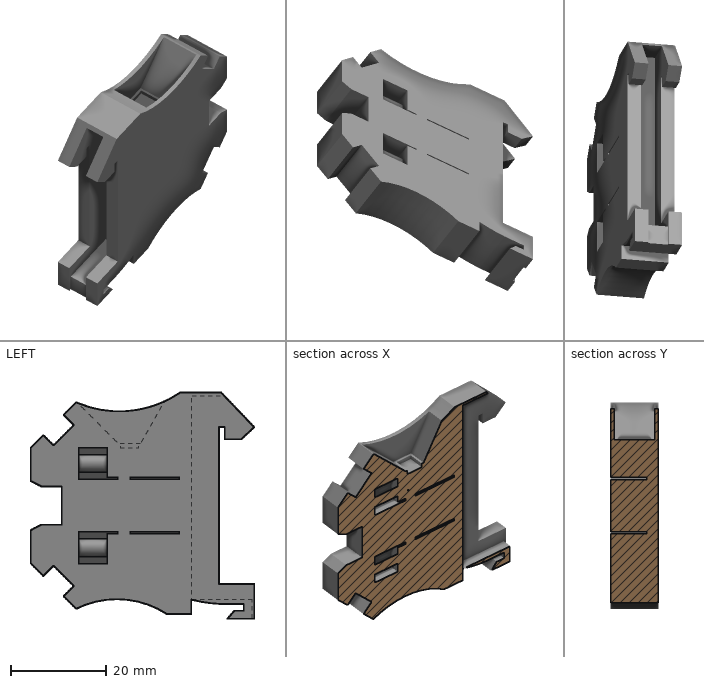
import cadquery as cq


width = 10.2
depth = 47.0
height = 47.6
side = width / 2
front = depth / 2
rail_end = -depth / 2
top = height / 2

tooth_corner_z = 12.15
tooth_run = 2.65
label_depth = 2.15
label_floor = 4.25
mid_notch_half = 4.0
mid_notch_floor_y = 17.0
mid_notch_chamfer_y = 2.25
mid_notch_chamfer_z = 1.15

waist_y = 4.75
top_waist_z = 19.8
bottom_waist_z = -19.7
top_waist_end_y = -7.95
bottom_waist_end_y = -5.1
bottom_land_z = -22.8

rail_face_y = -16.1
rail_half = 16.45
hook_gap = 1.2
hook_tip_z = 13.9
hook_slant_run = 7.0
hook_tip_run = 2.75
foot_step_y = -10.3
foot_root_z = -19.8
foot_under_z = -20.7
foot_arc_end_y = -16.45
foot_arc_mid = (-13.4, -20.4)
barb_wall = 2.25
barb_thickness = 1.7
barb_top_y = -19.3
barb_tip_y = -17.8

rail_slot_width = 4.3
rail_slot_top_z = 23.1
rail_slot_floor_z = -19.7
foot_recess = 0.5

funnel_width = 8.4
funnel_front_y = 13.75
funnel_floor_front_y = 5.2
funnel_floor_back_y = 0.45
funnel_back_y = -4.47
funnel_floor_z = 13.15
funnel_back_z = 21.8
screw_recess_width = 7.35
screw_recess_margin = 0.48
screw_recess_depth = 0.95

chamber_depth = 7.6
chamber_front_y = 13.4
chamber_back_y = -7.75
chamber_inner_z = 5.5
chamber_outer_z = 12.2
terminal_front_y = 7.43
terminal_gap = 0.4
link_front_y = 5.2
link_back_y = 2.6
wire_radius = 1.85


def block(x_range, y_range, z_range):
    """Axis-aligned box between the given limits."""
    x0, x1 = x_range
    y0, y1 = y_range
    z0, z1 = z_range
    return cq.Workplane("XY").box(x1 - x0, y1 - y0, z1 - z0, centered=False).translate((x0, y0, z0))


def front_half_outline():
    """Upper half of the front, from the middle notch floor up to the start of the waist."""
    points = [
        (mid_notch_floor_y, mid_notch_half),
        (front - mid_notch_chamfer_y, mid_notch_half),
        (front, mid_notch_half + mid_notch_chamfer_z),
        (front, tooth_corner_z),
    ]
    slanted_steps = [
        (-tooth_run, tooth_run),
        (-label_depth, -label_depth),
        (-label_floor, label_floor),
        (label_depth, label_depth),
        (-tooth_run, tooth_run),
    ]
    for step_y, step_z in slanted_steps:
        y, z = points[-1]
        points.append((y + step_y, z + step_z))
    return points


def housing():
    upper_front = front_half_outline()
    lower_front = [(y, -z) for y, z in upper_front]
    hook_back_y = rail_face_y - hook_gap
    barb_wall_y = rail_end + barb_wall
    barb_top_z = -top + barb_thickness

    outline = cq.Workplane("YZ", origin=(-side, 0, 0)).polyline(lower_front[::-1] + upper_front)
    outline = outline.threePointArc((waist_y, top_waist_z), (top_waist_end_y, top))
    outline = outline.lineTo(rail_end + hook_slant_run, top)
    outline = outline.lineTo(rail_end, rail_half)
    outline = outline.lineTo(rail_end + hook_tip_run, hook_tip_z)
    outline = outline.lineTo(hook_back_y, hook_tip_z)
    outline = outline.lineTo(hook_back_y, rail_half)
    outline = outline.lineTo(rail_face_y, rail_half)
    outline = outline.lineTo(rail_face_y, -rail_half)
    outline = outline.lineTo(rail_end, -rail_half)
    outline = outline.lineTo(rail_end, -top)
    outline = outline.lineTo(barb_tip_y, -top)
    outline = outline.lineTo(barb_top_y, barb_top_z)
    outline = outline.lineTo(barb_wall_y, barb_top_z)
    outline = outline.lineTo(barb_wall_y, foot_under_z)
    outline = outline.lineTo(foot_arc_end_y, foot_under_z)
    outline = outline.threePointArc(foot_arc_mid, (foot_step_y, foot_root_z))
    outline = outline.lineTo(foot_step_y, bottom_land_z)
    outline = outline.lineTo(bottom_waist_end_y, bottom_land_z)
    outline = outline.threePointArc((waist_y, bottom_waist_z), lower_front[-1])
    return outline.close().extrude(width)


def rail_slot():
    """Slot that splits the hook and rail face, with a shallow recess down the foot."""
    slot_x = (-rail_slot_width / 2, rail_slot_width / 2)
    slot = block(slot_x, (rail_end, foot_step_y), (rail_slot_floor_z, rail_slot_top_z))
    recess = block(slot_x, (rail_end, rail_end + foot_recess), (-top, rail_slot_floor_z))
    return slot.union(recess)


def screw_funnel():
    """Tapered opening in the upper waist with a rectangular recess in its floor."""
    front_z = funnel_floor_z + funnel_front_y - funnel_floor_front_y
    funnel = (
        cq.Workplane("YZ", origin=(-funnel_width / 2, 0, 0))
        .polyline([
            (funnel_front_y, front_z),
            (funnel_floor_front_y, funnel_floor_z),
            (funnel_floor_back_y, funnel_floor_z),
            (funnel_back_y, funnel_back_z),
            (funnel_back_y, top),
            (funnel_front_y, top),
        ])
        .close()
        .extrude(funnel_width)
    )
    recess = block(
        (-screw_recess_width / 2, screw_recess_width / 2),
        (funnel_floor_back_y + screw_recess_margin, funnel_floor_front_y - screw_recess_margin),
        (funnel_floor_z - screw_recess_depth, funnel_floor_z),
    )
    return funnel.union(recess)


def upper_wire_chamber():
    """Open part of the upper chamber around its terminal, link bar and round wire."""
    chamber_x = (-side, -side + chamber_depth)
    chamber_y = (chamber_back_y, chamber_front_y)
    terminal_bottom_z = chamber_inner_z + terminal_gap
    chamber = block(chamber_x, chamber_y, (chamber_inner_z, chamber_outer_z))
    terminal = block(chamber_x, (chamber_back_y, terminal_front_y), (terminal_bottom_z, chamber_outer_z))
    link = block(chamber_x, (link_back_y, link_front_y), (chamber_inner_z, chamber_outer_z))
    wire_center = (-side + chamber_depth / 2, chamber_back_y, (chamber_inner_z + chamber_outer_z) / 2)
    wire = (
        cq.Workplane("XZ", origin=wire_center)
        .circle(wire_radius)
        .extrude(chamber_back_y - chamber_front_y)
    )
    return chamber.cut(terminal).cut(link).cut(wire)


upper_chamber = upper_wire_chamber()
lower_chamber = upper_chamber.mirror("XY")

result = housing().cut(rail_slot()).cut(screw_funnel()).cut(upper_chamber).cut(lower_chamber)